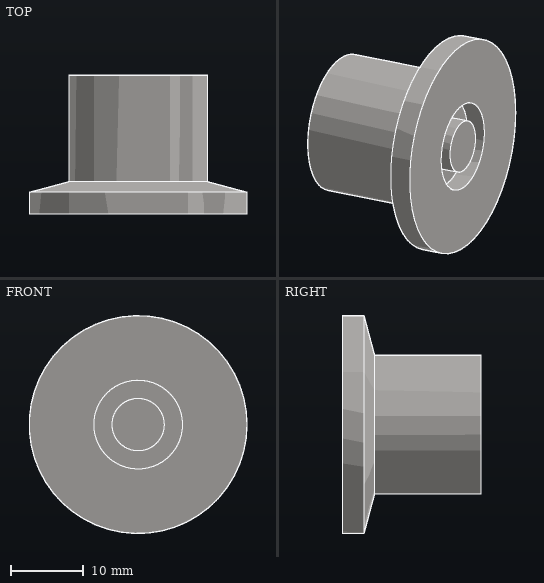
import cadquery as cq
import math

flange_diameter = 30.0
body_diameter = 19.1
recess_diameter = 12.2
pin_diameter = 7.2
total_length = 19.1
rim_thickness = 3.0
cone_angle = 15.0
recess_depth = 2.7

flange_radius = flange_diameter / 2
body_radius = body_diameter / 2
cone_length = (flange_radius - body_radius) * math.tan(math.radians(cone_angle))
cone_end = rim_thickness + cone_length

solid_body = (
    cq.Workplane("XY")
    .moveTo(0, 0)
    .lineTo(flange_radius, 0)
    .lineTo(flange_radius, rim_thickness)
    .lineTo(body_radius, cone_end)
    .lineTo(body_radius, total_length)
    .lineTo(0, total_length)
    .close()
    .revolve(360, (0, 0, 0), (0, 1, 0))
)

ring_recess = (
    cq.Workplane("XZ")
    .circle(recess_diameter / 2)
    .circle(pin_diameter / 2)
    .extrude(-recess_depth)
)

result = solid_body.cut(ring_recess)